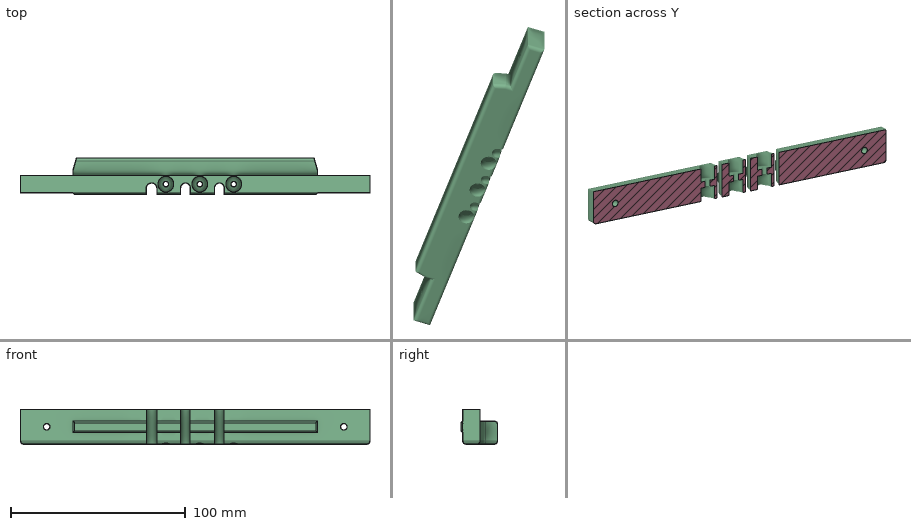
import cadquery as cq

BAR_LENGTH = 200.0
BAR_DEPTH = 10.0
BAR_HEIGHT = 20.0
EDGE_RADIUS = 2.0

TONGUE_LENGTH = 140.0
TONGUE_TIP_LENGTH = 136.0
TONGUE_HEIGHT = 13.2
TONGUE_DEPTH = 10.0
TONGUE_STRAIGHT = 3.0
TONGUE_TOP_RADIUS = 1.8

RIDGE_LENGTH = 140.0
RIDGE_HEIGHT = 6.5
RIDGE_DEPTH = 1.0
RIDGE_BEVEL = 1.0

BORE_PITCH = 19.5
BORE_MIDDLE_X = 2.5
BORE_DIAMETER = 3.0
COUNTERBORE_DIAMETER = 9.0
COUNTERBORE_DEPTH = 8.0
SLOT_OFFSET = 8.2
SLOT_DEPTH = 5.5
SLOT_WIDTHS = (6.0, 5.5, 5.5)

MOUNT_DIAMETER = 3.5
MOUNT_INSET = 15.0

MIDDLE_Z = BAR_HEIGHT / 2


def make_bar():
    bar = cq.Workplane("XY").box(BAR_LENGTH, BAR_DEPTH, BAR_HEIGHT, centered=(True, False, False))
    return bar.faces("<Z").edges().fillet(EDGE_RADIUS)


def make_tongue():
    """Tapered tongue, starting inside the bar so that the two overlap."""
    half_base = TONGUE_LENGTH / 2
    half_tip = TONGUE_TIP_LENGTH / 2
    root_y = BAR_DEPTH / 2
    taper_y = BAR_DEPTH + TONGUE_STRAIGHT
    tip_y = BAR_DEPTH + TONGUE_DEPTH
    tongue = (
        cq.Workplane("XY")
        .moveTo(-half_base, root_y)
        .lineTo(half_base, root_y)
        .lineTo(half_base, taper_y)
        .lineTo(half_tip, tip_y)
        .lineTo(-half_tip, tip_y)
        .lineTo(-half_base, taper_y)
        .close()
        .extrude(TONGUE_HEIGHT)
    )
    tongue = tongue.faces("<Z").edges("not <Y").fillet(EDGE_RADIUS)
    return tongue.faces(">Y").edges(">Z").fillet(TONGUE_TOP_RADIUS)


def make_ridge():
    return (
        cq.Workplane("XZ")
        .center(0, MIDDLE_Z)
        .rect(RIDGE_LENGTH, RIDGE_HEIGHT)
        .workplane(offset=RIDGE_DEPTH)
        .rect(RIDGE_LENGTH - 2 * RIDGE_BEVEL, RIDGE_HEIGHT - 2 * RIDGE_BEVEL)
        .loft(combine=True)
    )


def make_slot(x, width):
    """Full-height cutter, open at the front and ending in a half round."""
    round_y = SLOT_DEPTH - width / 2
    opening_y = -2 * RIDGE_DEPTH
    return (
        cq.Workplane("XY")
        .moveTo(x - width / 2, opening_y)
        .lineTo(x + width / 2, opening_y)
        .lineTo(x + width / 2, round_y)
        .threePointArc((x, SLOT_DEPTH), (x - width / 2, round_y))
        .close()
        .extrude(BAR_HEIGHT)
    )


def make_bore(x):
    """Through bore with a counterbore at the top and at the bottom."""
    base = cq.Workplane("XY").center(x, BAR_DEPTH / 2)
    bore = base.circle(BORE_DIAMETER / 2).extrude(BAR_HEIGHT)
    lower = base.circle(COUNTERBORE_DIAMETER / 2).extrude(COUNTERBORE_DEPTH)
    upper = lower.translate((0, 0, BAR_HEIGHT - COUNTERBORE_DEPTH))
    return bore.union(lower).union(upper)


def make_mount_hole(x):
    return cq.Workplane("XZ").center(x, MIDDLE_Z).circle(MOUNT_DIAMETER / 2).extrude(-BAR_DEPTH)


result = make_bar().union(make_tongue()).union(make_ridge())

for index, slot_width in enumerate(SLOT_WIDTHS):
    bore_x = BORE_MIDDLE_X + (index - 1) * BORE_PITCH
    result = result.cut(make_bore(bore_x))
    result = result.cut(make_slot(bore_x - SLOT_OFFSET, slot_width))

for side in (-1, 1):
    result = result.cut(make_mount_hole(side * (BAR_LENGTH / 2 - MOUNT_INSET)))